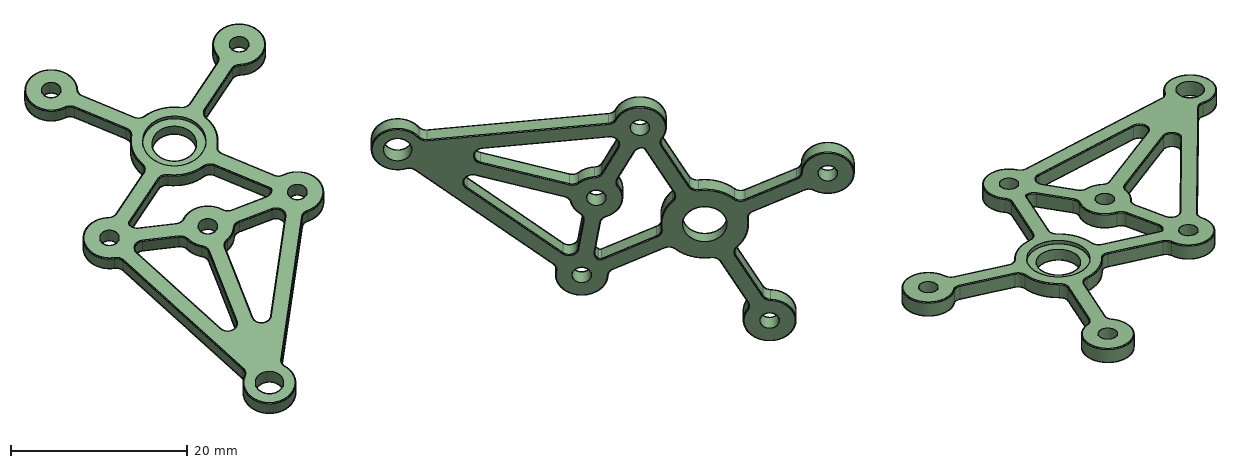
import cadquery as cq
import math

length = 53.6
thickness = 2.0
edge_chamfer = 0.1
arm_width = 2.0
corner_radius = 1.0
tight_corner_radius = 0.3

boss_radius = 3.0
screw_hole_diameter = 2.2
front_hole_diameter = 3.2

hub_radius = 5.0
hub_hole_diameter = 5.05
bearing_seat_diameter = 7.2
bearing_seat_depth = 0.5

corner_offset = 11.15
middle_boss_x = 12.85
front_boss_x = length - corner_offset - 2 * boss_radius

hub = (0, 0)
rear_bosses = [(-corner_offset, side * corner_offset) for side in (-1, 1)]
side_bosses = [(corner_offset, side * corner_offset) for side in (-1, 1)]
middle_boss = (middle_boss_x, 0)
front_boss = (front_boss_x, 0)
screw_points = rear_bosses + side_bosses + [middle_boss]


def disc(centre, radius):
    return cq.Workplane("XY").center(*centre).circle(radius).extrude(thickness)


def arm(start, end):
    """Straight bar between two boss centres."""
    run = end[0] - start[0]
    rise = end[1] - start[1]
    bar = cq.Workplane("XY").rect(math.hypot(run, rise), arm_width).extrude(thickness)
    bar = bar.rotate((0, 0, 0), (0, 0, 1), math.degrees(math.atan2(rise, run)))
    return bar.translate(((start[0] + end[0]) / 2, (start[1] + end[1]) / 2, 0))


def round_inside_corners(body):
    """Offset every boundary into the open space and back, leaving its inside corners rounded."""

    def rounded(wire, offset):
        moved = wire.offset2D(offset)[0]
        return moved.offset2D(-offset)[0]

    base = body.clean().faces("<Z").val()
    outline = rounded(base.outerWire(), corner_radius)
    windows = [rounded(wire, -corner_radius) for wire in base.innerWires()]
    return cq.Workplane(cq.Solid.extrudeLinear(outline, windows, cq.Vector(0, 0, thickness)))


def front_truss():
    """Triangular frame ahead of the hub, braced from the middle boss."""
    body = arm(middle_boss, front_boss)
    for point in side_bosses:
        body = body.union(arm(point, middle_boss)).union(arm(point, front_boss))
    for point in side_bosses + [middle_boss, front_boss]:
        body = body.union(disc(point, boss_radius))
    return round_inside_corners(body)


def arm_corner(centre, radius, target, side):
    """Mid-height point where one edge of an arm towards the target leaves a disc."""
    heading = math.atan2(target[1] - centre[1], target[0] - centre[0])
    angle = heading + side * math.asin(arm_width / 2 / radius)
    x = centre[0] + radius * math.cos(angle)
    y = centre[1] + radius * math.sin(angle)
    return (x, y, thickness / 2)


def fillet_corners(body, corners, radius):
    edges = [body.edges(cq.NearestToPointSelector(corner)).val() for corner in corners]
    return body.newObject(edges).fillet(radius)


def add_hub(body):
    """Hub with its four diagonal arms and the two rear bosses."""
    body = body.union(disc(hub, hub_radius))
    corners = []
    for point in rear_bosses + side_bosses:
        body = body.union(arm(hub, point))
        corners += [arm_corner(hub, hub_radius, point, side) for side in (-1, 1)]
    for point in rear_bosses:
        body = body.union(disc(point, boss_radius))
        corners += [arm_corner(point, boss_radius, hub, side) for side in (-1, 1)]
    tight_corners = []
    for point in side_bosses:
        outside = -math.copysign(1, point[1])
        corners.append(arm_corner(point, boss_radius, hub, outside))
        tight_corners.append(arm_corner(point, boss_radius, hub, -outside))
    body = fillet_corners(body.clean(), corners, corner_radius)
    return fillet_corners(body, tight_corners, tight_corner_radius)


def cut_holes(body):
    top = body.faces(">Z").workplane(origin=(0, 0, thickness))
    body = top.pushPoints(screw_points).hole(screw_hole_diameter)
    top = body.faces(">Z").workplane(origin=(0, 0, thickness))
    body = top.pushPoints([front_boss]).hole(front_hole_diameter)
    top = body.faces(">Z").workplane(origin=(0, 0, thickness))
    return top.cboreHole(hub_hole_diameter, bearing_seat_diameter, bearing_seat_depth)


frame = add_hub(front_truss()).faces("<Z or >Z").chamfer(edge_chamfer)
result = cut_holes(frame)